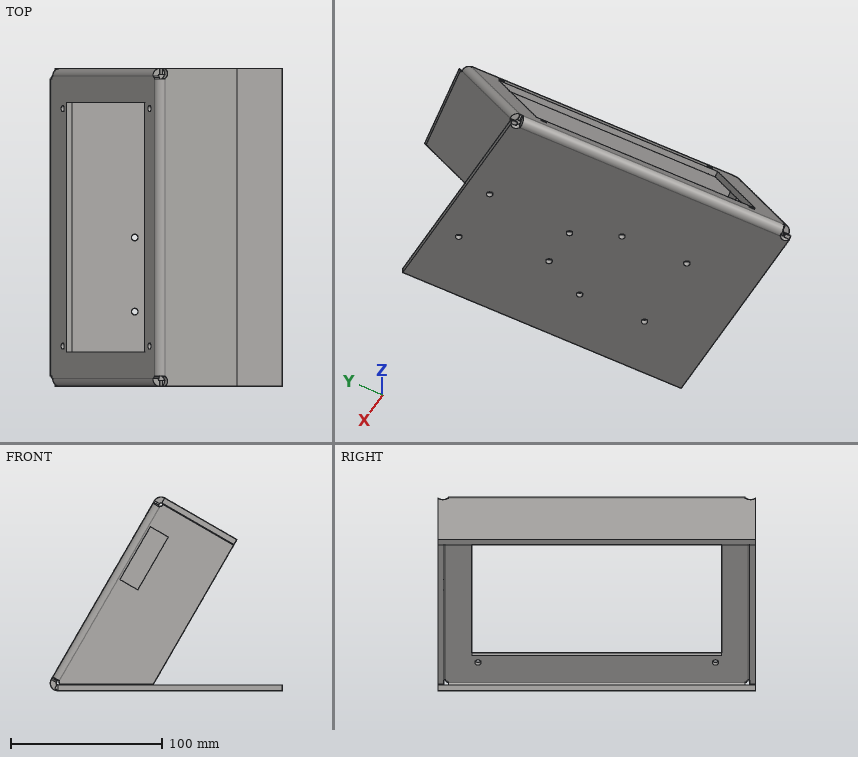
import cadquery as cq
import math


width = 210.0
sheet = 4.0
bend_inner = 1.0
bend_outer = bend_inner + sheet
bend_middle = bend_inner + sheet / 2
bend_setback = 1.9
corner_radius = bend_inner
notch_radius = 3.5
notch_inset = 3.4
notch_offset = 1.5
seam_gap = 0.2

lean = 30.0
depth = 153.3
height = 128.0
flange_depth = 55.0
panel_height = (height - 2 * bend_outer) / math.cos(math.radians(lean))
half_flat = width / 2 - bend_outer
base_length = depth - bend_outer

window_width = 164.8
window_bottom = 20.4
window_top = 123.3
panel_hole_diameter = 4.0
panel_hole_spacing = 156.9
panel_hole_heights = (15.1, 129.8)

slot_front = 1.3
slot_depth = 13.6
slot_bottom = 79.8
slot_length = 40.3

base_hole_diameter = 4.2
large_board_holes = [(x, y) for x in (55.9, 113.8) for y in (-55.6, -6.7)]
small_board_holes = [(70.1, 25.0), (98.0, 25.0), (65.7, 87.5), (108.2, 87.5)]


def block(x_range, y_range, z_range):
    """Box spanning the three (low, high) ranges."""
    lows, highs = zip(x_range, y_range, z_range)
    sizes = [high - low for low, high in zip(lows, highs)]
    return cq.Workplane("XY").box(*sizes, centered=False).translate(lows)


def rod(center, direction, diameter):
    """Cylinder long enough to pierce one sheet, centred on a point."""
    length = 3 * sheet
    start = cq.Vector(*center) - cq.Vector(*direction) * (length / 2)
    return cq.Workplane(cq.Solid.makeCylinder(diameter / 2, length, start, cq.Vector(*direction)))


def drill(plate, centers, direction, diameter):
    """Plate with a hole through it at each centre."""
    for center in centers:
        plate = plate.cut(rod(center, direction, diameter))
    return plate


def notch_front_corners(plate, z):
    """Horizontal plate, centred at height z, scooped at both ends of its front edge."""
    notch_y = width / 2 - notch_inset
    centers = [(-notch_offset, side * notch_y, z) for side in (-1, 1)]
    return drill(plate, centers, (0, 0, 1), 2 * notch_radius)


def bend(plane, start_angle, end_angle, length):
    """Part of a tube, centred on the plane's origin along its normal."""
    def on_arc(radius, angle):
        turn = math.radians(angle)
        return radius * math.cos(turn), radius * math.sin(turn)

    middle_angle = (start_angle + end_angle) / 2
    return (
        cq.Workplane(plane)
        .moveTo(*on_arc(bend_outer, start_angle))
        .threePointArc(on_arc(bend_outer, middle_angle), on_arc(bend_outer, end_angle))
        .lineTo(*on_arc(bend_inner, end_angle))
        .threePointArc(on_arc(bend_inner, middle_angle), on_arc(bend_inner, start_angle))
        .close()
        .extrude(length / 2, both=True)
    )


def make_base():
    plate = block((0, base_length), (-width / 2, width / 2), (-bend_outer, -bend_inner))
    holes = [(x - bend_outer, y, -bend_middle) for x, y in large_board_holes + small_board_holes]
    plate = drill(plate, holes, (0, 0, 1), base_hole_diameter)
    return notch_front_corners(plate, -bend_middle)


def make_panel():
    thickness_range = (-bend_outer, -bend_inner)
    plate = block(thickness_range, (-half_flat, half_flat), (0, panel_height))
    plate = plate.cut(
        block(thickness_range, (-window_width / 2, window_width / 2), (window_bottom, window_top))
    )
    screws = [
        (-bend_middle, side * panel_hole_spacing / 2, z)
        for side in (-1, 1)
        for z in panel_hole_heights
    ]
    plate = drill(plate, screws, (1, 0, 0), panel_hole_diameter)
    corners = [(-bend_middle, y, z) for y in (-half_flat, half_flat) for z in (0, panel_height)]
    return drill(plate, corners, (1, 0, 0), 2 * corner_radius)


def make_top_flange():
    thickness_range = (panel_height + bend_inner, panel_height + bend_outer)
    plate = block((0, flange_depth), (-width / 2, width / 2), thickness_range)
    return notch_front_corners(plate, panel_height + bend_middle)


def make_side_flange(side):
    """Side flange; its lower end overruns the base and is trimmed after leaning."""
    y_range = sorted((side * (width / 2 - sheet), side * width / 2))
    plate = block((0, flange_depth), y_range, (-sheet, panel_height + bend_inner - seam_gap))
    corners = [(0, side * (width / 2 - sheet / 2), z) for z in (0, panel_height)]
    return drill(plate, corners, (0, 1, 0), 2 * corner_radius)


def make_slot():
    return block(
        (slot_front, slot_front + slot_depth),
        (-width / 2, sheet - width / 2),
        (slot_bottom, slot_bottom + slot_length),
    )


def make_side_bend(side):
    plane = cq.Plane((0, side * half_flat, panel_height / 2), (1, 0, 0), (0, 0, 1))
    angles = (90, 180) if side > 0 else (180, 270)
    return bend(plane, *angles, panel_height - 2 * bend_setback)


cross_bend_length = 2 * (half_flat - bend_setback)
top_bend_plane = cq.Plane((0, 0, panel_height), (1, 0, 0), (0, -1, 0))
base_bend_plane = cq.Plane((0, 0, 0), (1, 0, 0), (0, -1, 0))

upright = make_panel().union(make_top_flange())
upright = upright.union(bend(top_bend_plane, 90, 180, cross_bend_length))
for side in (-1, 1):
    upright = upright.union(make_side_flange(side)).union(make_side_bend(side))
upright = upright.cut(make_slot())

leaning = upright.rotate((0, 0, 0), (0, 1, 0), lean)
trim_zone = block((0, depth), (-width / 2, width / 2), (-height, seam_gap - bend_inner))
leaning = leaning.cut(trim_zone)

base_bend = bend(base_bend_plane, 180 - lean, 270, cross_bend_length)
result = leaning.union(base_bend).union(make_base())